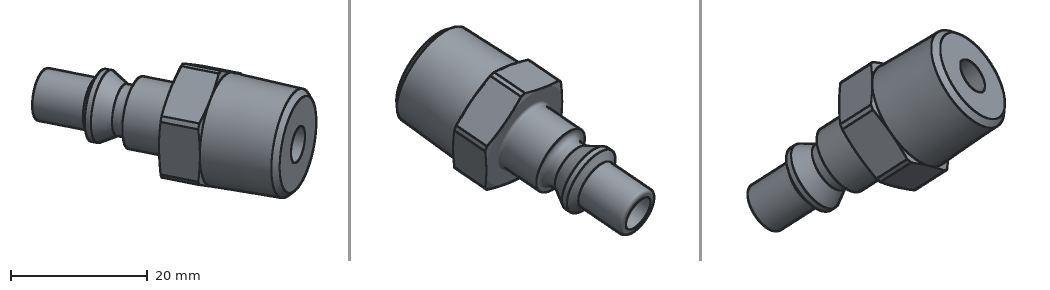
import cadquery as cq
import math

tip_x = 0
collar_front = 8.2
collar_crest_start = 9.07
collar_crest_end = 10.05
neck_start = 12.75
neck_end = 14.0
shoulder_front = 15.0
hex_front = 22.0
hex_back = 28.45
total_length = 40.5

bore_diameter = 5.5
tip_diameter = 7.9
neck_diameter = 7.8
body_diameter = 10.9
hex_across_flats = 17
hex_across_corners = 19.15
thread_tip_diameter = 16.32

tip_round = 0.53
root_fillet = 0.5
hex_chamfer_length = 0.25
thread_chamfer = 0.95

bore_radius = bore_diameter / 2
tip_radius = tip_diameter / 2
neck_radius = neck_diameter / 2
body_radius = body_diameter / 2
flat_radius = hex_across_flats / 2
corner_radius = hex_across_corners / 2
thread_tip_radius = thread_tip_diameter / 2
thread_chamfer_start = total_length - thread_chamfer
neck_fillet = shoulder_front - neck_end
arc_middle = math.sqrt(0.5)


def revolve_about_x(profile):
    """Revolve a closed (X, radius) profile a full turn about the X axis."""
    return profile.close().revolve(360, (0, 0, 0), (1, 0, 0))


def make_plug():
    """Turned plug: tip, locking collar, neck and body, filleted into the hexagon."""
    profile = (
        cq.Workplane("XY")
        .moveTo(tip_x, 0)
        .lineTo(tip_x, tip_radius - tip_round)
        .threePointArc(
            (tip_x + tip_round * (1 - arc_middle), tip_radius - tip_round * (1 - arc_middle)),
            (tip_x + tip_round, tip_radius),
        )
        .lineTo(collar_front, tip_radius)
        .lineTo(collar_crest_start, body_radius)
        .lineTo(collar_crest_end, body_radius)
        .lineTo(neck_start, neck_radius)
        .lineTo(neck_end, neck_radius)
        .threePointArc(
            (neck_end + neck_fillet * arc_middle, neck_radius + neck_fillet * (1 - arc_middle)),
            (shoulder_front, neck_radius + neck_fillet),
        )
        .lineTo(shoulder_front, body_radius)
        .lineTo(hex_front - root_fillet, body_radius)
        .threePointArc(
            (hex_front - root_fillet * (1 - arc_middle), body_radius + root_fillet * (1 - arc_middle)),
            (hex_front, body_radius + root_fillet),
        )
        .lineTo(hex_front, 0)
    )
    return revolve_about_x(profile)


def make_hexagon():
    """Wrench hexagon with corners up and down, trimmed by a turned, chamfered blank."""
    sharp_corner_diameter = hex_across_flats / math.cos(math.pi / 6)
    prism = (
        cq.Workplane("YZ", origin=(hex_front, 0, 0))
        .transformed(rotate=(0, 0, 90))
        .polygon(6, sharp_corner_diameter)
        .extrude(hex_back - hex_front)
    )
    blank = revolve_about_x(
        cq.Workplane("XY")
        .moveTo(hex_front, 0)
        .lineTo(hex_front, flat_radius)
        .lineTo(hex_front + hex_chamfer_length, corner_radius)
        .lineTo(hex_back - hex_chamfer_length, corner_radius)
        .lineTo(hex_back, flat_radius)
        .lineTo(hex_back, 0)
    )
    return prism.intersect(blank)


def make_thread_end():
    """Plain tapered thread blank with a 45 degree lead-in chamfer."""
    profile = (
        cq.Workplane("XY")
        .moveTo(hex_back, 0)
        .lineTo(hex_back, flat_radius)
        .lineTo(thread_chamfer_start, thread_tip_radius)
        .lineTo(total_length, thread_tip_radius - thread_chamfer)
        .lineTo(total_length, 0)
    )
    return revolve_about_x(profile)


bore = cq.Workplane("YZ").circle(bore_radius).extrude(total_length)

result = make_plug().union(make_hexagon()).union(make_thread_end()).cut(bore)